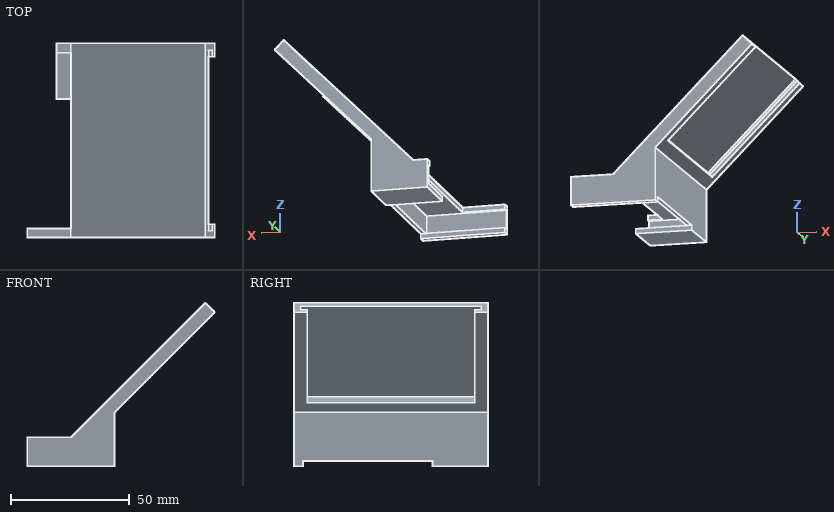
import cadquery as cq
import math

length = 78.9
width = 81.8
height = 68.8
base_length = 36.8
base_height = 12.3
plate_foot_x = base_length / 2
plate_top_x = plate_foot_x + height - base_height
plate_drop = length - plate_top_x

wall = 2.1
lip_width = 3.9
floor_width = 23.5
rear_arm_split = width / 2
short_arm_setback = 12.3
foot_undercut = 0.205
tray_stop_x = base_length - wall

skin = 2.05
slot_depth = 2.05
slot_side_wall = 3.0
slot_lip_width = 5.7
slot_overrun = 8.2


def box_between(x_start, x_end, y_start, y_end, z_start, z_end):
    size = (x_end - x_start, y_end - y_start, z_end - z_start)
    return cq.Workplane("XY").box(*size, centered=False).translate((x_start, y_start, z_start))


def body():
    """Side outline of the base and leaning plate, extruded across the width."""
    underside_z = base_height + base_length - plate_foot_x - 2 * plate_drop
    outline = [
        (0, 0),
        (base_length, 0),
        (base_length, underside_z),
        (length, height - plate_drop),
        (plate_top_x, height),
        (plate_foot_x, base_height),
        (0, base_height),
    ]
    return cq.Workplane("XZ").polyline(outline).close().extrude(-width)


def tray_cuts():
    """Tray pocket, the gaps above and below it, and the shorter rear arm."""
    pocket = box_between(0, tray_stop_x, wall, width - wall, wall, base_height - wall)
    gap_outline = [
        (0, base_height),
        (plate_foot_x, base_height),
        (plate_foot_x + foot_undercut, base_height - wall),
        (0, base_height - wall),
    ]
    top_gap = cq.Workplane("XZ").polyline(gap_outline).close().extrude(2 * lip_width - width)
    top_gap = top_gap.translate((0, lip_width, 0))
    floor_gap = box_between(0, base_length, lip_width, width - floor_width, 0, wall)
    setback = box_between(0, short_arm_setback, rear_arm_split, width, 0, base_height)
    return pocket.union(top_gap).union(floor_gap).union(setback)


def plate_band(depth_start, depth_end, side_margin):
    """Slab parallel to the plate, between two depths below its upper face, behind the base."""
    run_start = (base_length - plate_foot_x) * math.sqrt(2)
    run_end = (plate_top_x - plate_foot_x) * math.sqrt(2) + slot_overrun
    band = box_between(run_start, run_end, side_margin, width - side_margin, -depth_end, -depth_start)
    return band.rotate((0, 0, 0), (0, 1, 0), -45).translate((plate_foot_x, 0, base_height))


def panel_slot():
    """Lipped slot, open at the plate's upper end and along its underside."""
    wide_part = plate_band(skin, skin + slot_depth, slot_side_wall)
    opening = plate_band(skin, skin + slot_overrun, slot_lip_width)
    behind_base = box_between(base_length, length + slot_overrun, 0, width, 0, height + slot_overrun)
    return wide_part.union(opening).intersect(behind_base)


result = body().cut(tray_cuts()).cut(panel_slot())